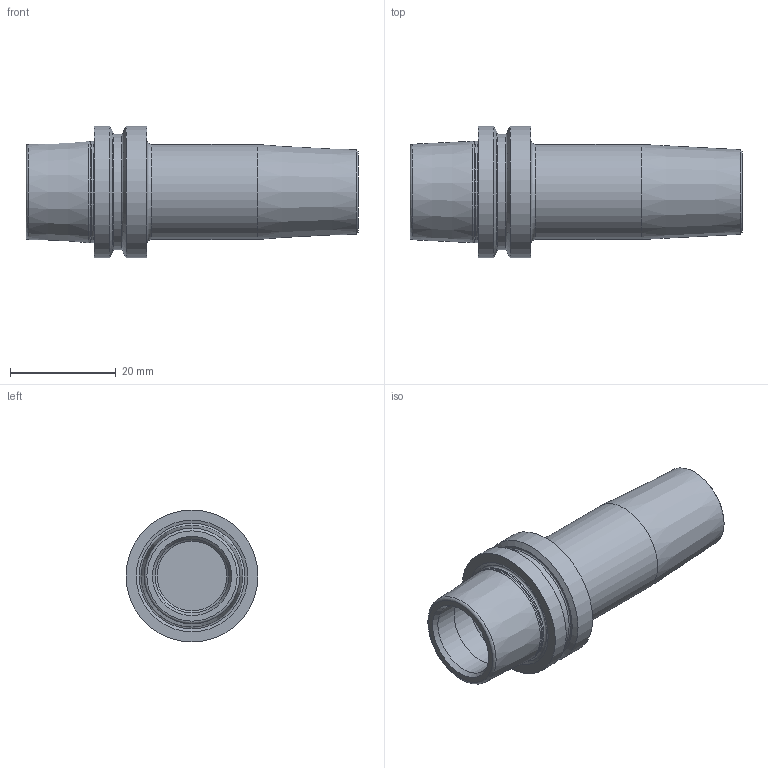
import cadquery as cq
import math


length = 62.9
flange_radius = 12.5
flange_start = 12.9
flange_width = 10.0
flange_end = flange_start + flange_width

groove_center = flange_start + 4.5
groove_width = 3.14
groove_floor_radius = 10.95
groove_slot_width = 2.0
groove_flank_angle = 30.0
groove_floor_fillet = 0.25

taper_start_radius = 9.03
taper_end_radius = 9.6
taper_end = 11.8
mouth_outer_fillet = 0.5

relief_radius = 9.5
relief_bottom = 12.2
relief_end = 12.4
root_radius = taper_end_radius
recess_fillet = 0.4
recess_depth = 0.2
recess_inner_radius = root_radius + recess_fillet
recess_outer_radius = 10.58
recess_floor = flange_start + recess_depth

mouth_radius = 7.5
bore_radius = 7.0
bore_length = 5.25
chamber_radius = 7.3
lip_angle = 30.0
bore_chamfer = 0.9
bore_floor_radius = 6.6
bore_depth = 10.6

shank_radius = 9.0
shank_fillet = 0.9
nose_radius = 8.0
nose_angle = 3.0
nose_length = (shank_radius - nose_radius) / math.tan(math.radians(nose_angle))
nose_chamfer = 0.3


def ring_from_outline(outline):
    """Turn a closed half outline (x, radius) once around the X axis."""
    return outline.close().revolve(360, (0, 0, 0), (1, 0, 0))


def taper_and_flange():
    """Taper with its rounded mouth, the relief and face recess behind it, and the plain flange."""
    outline = (
        cq.Workplane("XY")
        .moveTo(0, 0)
        .lineTo(0, taper_start_radius)
        .lineTo(taper_end, taper_end_radius)
        .lineTo(relief_bottom, relief_radius)
        .lineTo(relief_end, root_radius)
        .lineTo(recess_floor - recess_fillet, root_radius)
        .radiusArc((recess_floor, recess_inner_radius), -recess_fillet)
        .lineTo(flange_start, recess_outer_radius)
        .lineTo(flange_start, flange_radius)
        .lineTo(flange_end, flange_radius)
        .lineTo(flange_end, 0)
    )
    return ring_from_outline(outline).faces("<X").edges().fillet(mouth_outer_fillet)


def gripper_groove():
    """Ring cut from the flange rim: sloped flanks, a straight-walled slot and a rounded floor."""
    half_width = groove_width / 2
    half_slot = groove_slot_width / 2
    flank_drop = (half_width - half_slot) / math.tan(math.radians(groove_flank_angle))
    slot_top_radius = flange_radius - flank_drop
    outline = (
        cq.Workplane("XY")
        .moveTo(groove_center - half_width, flange_radius)
        .lineTo(groove_center - half_slot, slot_top_radius)
        .lineTo(groove_center - half_slot, groove_floor_radius)
        .lineTo(groove_center + half_slot, groove_floor_radius)
        .lineTo(groove_center + half_slot, slot_top_radius)
        .lineTo(groove_center + half_width, flange_radius)
    )
    floor_corners = cq.selectors.RadiusNthSelector(0)
    return ring_from_outline(outline).edges(floor_corners).fillet(groove_floor_fillet)


def shank_and_nose():
    """Cylindrical shank with a fillet at the flange and a tapered, chamfered nose."""
    outline = (
        cq.Workplane("XY")
        .moveTo(flange_end, 0)
        .lineTo(flange_end, shank_radius + shank_fillet)
        .radiusArc((flange_end + shank_fillet, shank_radius), -shank_fillet)
        .lineTo(length - nose_length, shank_radius)
        .lineTo(length, nose_radius)
        .lineTo(length, 0)
    )
    return ring_from_outline(outline).faces(">X").chamfer(nose_chamfer)


def bore():
    """Blind bore: chamfered mouth, guide cylinder, wider clamping chamber and coned floor corner."""
    chamber_start = bore_length + (chamber_radius - bore_radius) * math.tan(math.radians(lip_angle))
    chamber_end = bore_depth - (chamber_radius - bore_floor_radius)
    outline = (
        cq.Workplane("XY")
        .moveTo(0, 0)
        .lineTo(0, mouth_radius)
        .lineTo(bore_chamfer, bore_radius)
        .lineTo(bore_length, bore_radius)
        .lineTo(chamber_start, chamber_radius)
        .lineTo(chamber_end, chamber_radius)
        .lineTo(bore_depth, bore_floor_radius)
        .lineTo(bore_depth, 0)
    )
    return ring_from_outline(outline)


result = taper_and_flange().union(shank_and_nose()).cut(gripper_groove()).cut(bore())